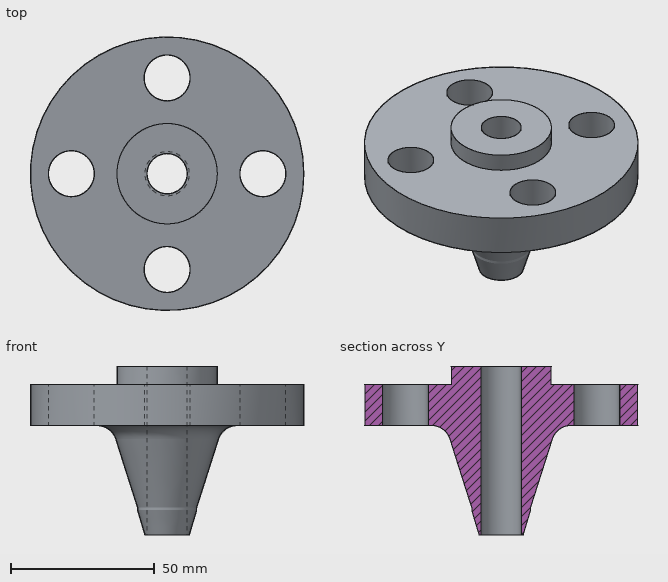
import cadquery as cq
import math

flange_diameter = 95.25
flange_thickness = 14.4
face_diameter = 35.0
face_height = 6.3

bolt_hole_diameter = 15.9
bolt_circle_diameter = 66.7
bolt_count = 4
bore_diameter = 13.9

hub_length = 38.1
tip_radius = 7.7
neck_radius = 10.3
bevel_height = 8.6
neck_height = 1.0
cone_top_radius = 17.9
cone_top_z = 33.4


def make_hub():
    """Revolve the bevel, short neck, cone and the fillet that meets the flange."""
    neck_top_z = bevel_height + neck_height
    taper = math.atan2(cone_top_radius - neck_radius, cone_top_z - neck_top_z)

    fillet_radius = (hub_length - cone_top_z) / (1 - math.sin(taper))
    center_r = cone_top_radius + fillet_radius * math.cos(taper)
    center_z = hub_length - fillet_radius
    mid_angle = (math.pi / 2 + math.pi - taper) / 2
    fillet_middle = (
        center_r + fillet_radius * math.cos(mid_angle),
        center_z + fillet_radius * math.sin(mid_angle),
    )

    return (
        cq.Workplane("XZ")
        .moveTo(0, 0)
        .lineTo(tip_radius, 0)
        .lineTo(neck_radius, bevel_height)
        .lineTo(neck_radius, neck_top_z)
        .lineTo(cone_top_radius, cone_top_z)
        .threePointArc(fillet_middle, (center_r, hub_length))
        .lineTo(0, hub_length)
        .close()
        .revolve(360, (0, 0, 0), (0, 1, 0))
    )


def make_flange():
    """Stack the raised face on the disc and drill the bolt circle."""
    return (
        cq.Workplane("XY", origin=(0, 0, hub_length))
        .circle(flange_diameter / 2)
        .extrude(flange_thickness)
        .faces(">Z")
        .workplane()
        .circle(face_diameter / 2)
        .extrude(face_height)
        .faces("<Z")
        .workplane()
        .polarArray(bolt_circle_diameter / 2, 0, 360, bolt_count)
        .hole(bolt_hole_diameter)
    )


total_height = hub_length + flange_thickness + face_height
bore = cq.Workplane("XY").circle(bore_diameter / 2).extrude(total_height)

result = make_flange().union(make_hub()).cut(bore)